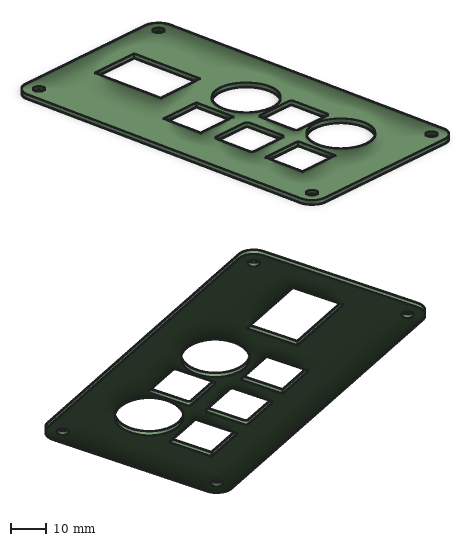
import cadquery as cq

LENGTH = 112.7
WIDTH = 61.0
THICKNESS = 1.5
CORNER_RADIUS = 5.0

MOUNT_DIAMETER = 3.4
MOUNT_INSET = CORNER_RADIUS

WINDOW_LENGTH = 24.8
WINDOW_WIDTH = 16.8
WINDOW_CENTER = (-34.0, 1.1)

CLUSTER_X = 14.1
UPPER_ROW_Y = 9.0
LOWER_ROW_Y = -9.9
ROUND_DIAMETER = 19.5
ROUND_SPACING = 35.6
ROUND_Y = 8.9
SIDE_SQUARE = 14.0
SIDE_SPACING = 38.3
MIDDLE_SQUARE = 14.3
MIDDLE_CORNER_RADIUS = 0.9


def rectangular_cutter(center, length, width):
    """Rectangular prism through the plate thickness."""
    return cq.Workplane("XY").center(*center).rect(length, width).extrude(THICKNESS)


plate = (
    cq.Workplane("XY")
    .rect(LENGTH, WIDTH)
    .extrude(THICKNESS)
    .edges("|Z")
    .fillet(CORNER_RADIUS)
)

mount_holes = (
    cq.Workplane("XY")
    .rect(LENGTH - 2 * MOUNT_INSET, WIDTH - 2 * MOUNT_INSET, forConstruction=True)
    .vertices()
    .circle(MOUNT_DIAMETER / 2)
    .extrude(THICKNESS)
)
result = plate.cut(mount_holes)

result = result.cut(rectangular_cutter(WINDOW_CENTER, WINDOW_LENGTH, WINDOW_WIDTH))

for side in (-1, 1):
    round_x = CLUSTER_X + side * ROUND_SPACING / 2
    round_opening = (
        cq.Workplane("XY")
        .center(round_x, ROUND_Y)
        .circle(ROUND_DIAMETER / 2)
        .extrude(THICKNESS)
    )
    square_center = (CLUSTER_X + side * SIDE_SPACING / 2, LOWER_ROW_Y)
    square_opening = rectangular_cutter(square_center, SIDE_SQUARE, SIDE_SQUARE)
    result = result.cut(round_opening).cut(square_opening)

for row_y in (UPPER_ROW_Y, LOWER_ROW_Y):
    middle_opening = rectangular_cutter((CLUSTER_X, row_y), MIDDLE_SQUARE, SIDE_SQUARE)
    result = result.cut(middle_opening.edges("|Z").fillet(MIDDLE_CORNER_RADIUS))